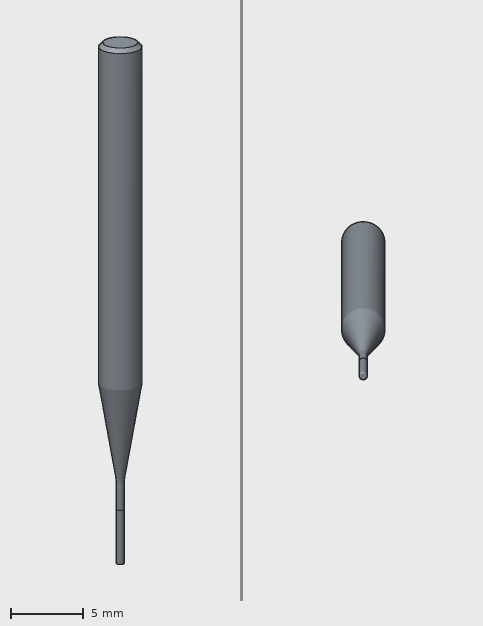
import cadquery as cq

total_length = 38.0
shank_diameter = 3.0

tip_diameter = 0.57
tip_length = 4.0
tip_corner_radius = 0.1

neck_diameter = tip_diameter
neck_top = 6.0
flare_top = 6.35
flare_diameter = 0.65
taper_top = 13.15
end_chamfer_width = 0.3
end_chamfer_height = 0.3


def make_cutting_tip():
    """Cylindrical cutting end with a rounded bottom corner."""
    tip = cq.Workplane("XY").circle(tip_diameter / 2).extrude(tip_length)
    return tip.faces("<Z").edges().fillet(tip_corner_radius)


def make_shank():
    """Revolved holder that sits on the cutting tip and carries the neck, taper and grip."""
    shank_radius = shank_diameter / 2
    profile = [
        (0, tip_length),
        (neck_diameter / 2, tip_length),
        (neck_diameter / 2, neck_top),
        (flare_diameter / 2, flare_top),
        (shank_radius, taper_top),
        (shank_radius, total_length - end_chamfer_height),
        (shank_radius - end_chamfer_width, total_length),
        (0, total_length),
    ]
    return cq.Workplane("XZ").polyline(profile).close().revolve(360, (0, 0, 0), (0, 1, 0))


cutting_tip = make_cutting_tip()
shank = make_shank()

result = cq.Compound.makeCompound([cutting_tip.val(), shank.val()])